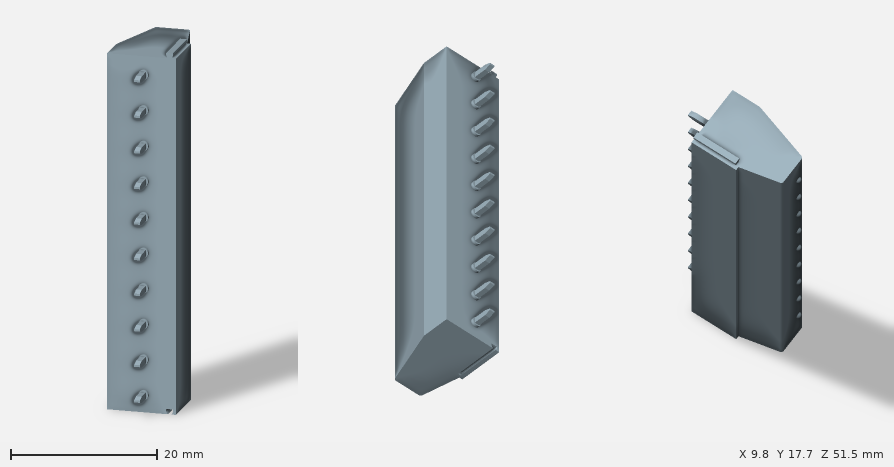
import cadquery as cq


pole_count = 10
pole_pitch = 5.08

body_width = 9.8
body_depth = 13.8
body_height = pole_count * pole_pitch
left_wall_depth = 4.55
top_left_x = 3.0
top_right_x = 7.9
step_x = 9.25
step_depth = 7.45
top_edge_radius = 0.4
first_pole_z = pole_pitch / 2

tongue_x = 8.88
tongue_head_width = 0.95
tongue_neck_width = 0.5
tongue_rise = 0.74
tongue_head_rise = 0.4
tongue_length = 7.0

pin_x = 5.24
collar_diameter = 1.4
collar_length = 0.45
pin_length = 3.5
pin_width = 0.8
pin_thickness = 0.9
pin_tip_thickness = 0.3
pin_taper_length = 1.0

bump_x = 4.05
bump_radius = 0.5
bump_rise = 0.4


def make_housing():
    outline = [
        (0, 0),
        (body_width, 0),
        (body_width, step_depth),
        (step_x, step_depth),
        (top_right_x, body_depth),
        (top_left_x, body_depth),
        (0, left_wall_depth),
    ]
    housing = cq.Workplane("XY").polyline(outline).close().extrude(body_height)
    return housing.faces(">Y").edges("|Z").fillet(top_edge_radius)


def make_dovetail(base_z):
    """Dovetail rail that starts at base_z and widens upward, running along Y."""
    half_neck = tongue_neck_width / 2
    half_head = tongue_head_width / 2
    shoulder_z = base_z + tongue_rise - tongue_head_rise
    top_z = base_z + tongue_rise
    outline = [
        (tongue_x - half_neck, base_z),
        (tongue_x + half_neck, base_z),
        (tongue_x + half_head, shoulder_z),
        (tongue_x + half_head, top_z),
        (tongue_x - half_head, top_z),
        (tongue_x - half_head, shoulder_z),
    ]
    return cq.Workplane("XZ").polyline(outline).close().extrude(-tongue_length)


def make_pin(z):
    """Round collar and flat blade whose end narrows to a wedge."""
    collar = cq.Workplane("XZ").center(pin_x, z).circle(collar_diameter / 2).extrude(collar_length)
    taper_start_y = -(pin_length - pin_taper_length)
    side_outline = [
        (0, z - pin_thickness / 2),
        (taper_start_y, z - pin_thickness / 2),
        (-pin_length, z - pin_tip_thickness / 2),
        (-pin_length, z + pin_tip_thickness / 2),
        (taper_start_y, z + pin_thickness / 2),
        (0, z + pin_thickness / 2),
    ]
    blade = (
        cq.Workplane("YZ", origin=(pin_x, 0, 0))
        .polyline(side_outline)
        .close()
        .extrude(pin_width / 2, both=True)
    )
    return collar.union(blade)


def make_bump(z):
    """Spherical cap standing on the +Y face."""
    sphere_radius = (bump_radius**2 + bump_rise**2) / (2 * bump_rise)
    centre_y = body_depth + bump_rise - sphere_radius
    return cq.Workplane("XY").sphere(sphere_radius).translate((bump_x, centre_y, z))


result = make_housing()
result = result.union(make_dovetail(body_height))
result = result.cut(make_dovetail(0))
for pole in range(pole_count):
    result = result.union(make_pin(first_pole_z + pole * pole_pitch))
for gap in range(pole_count - 1):
    result = result.union(make_bump(first_pole_z + (gap + 0.5) * pole_pitch))